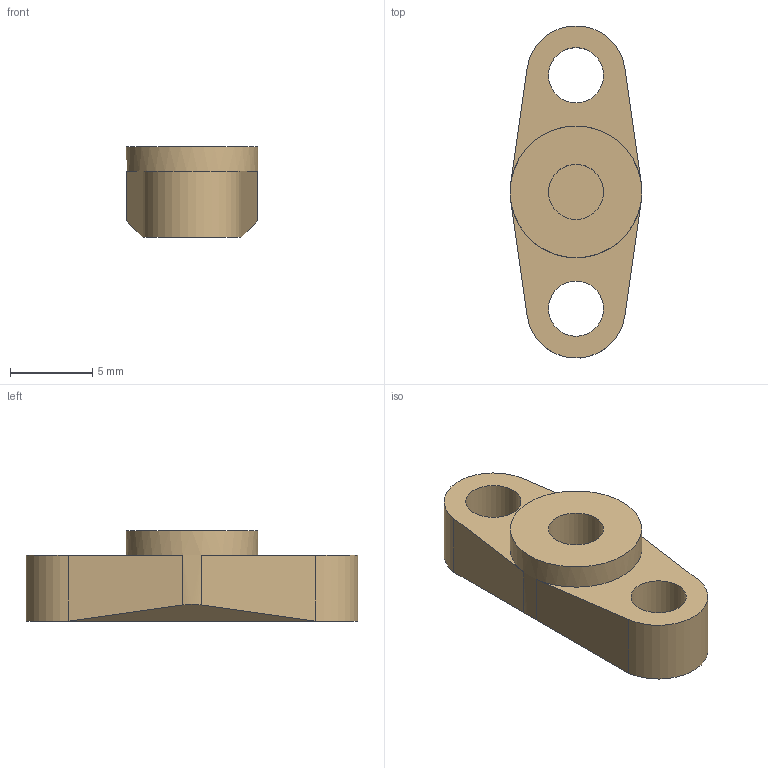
import cadquery as cq
import math

overall_length = 20.18
end_radius = 3.0
boss_radius = 4.0
flange_thickness = 4.0
boss_height = 1.5
hole_diameter = 3.35
bore_depth = 4.0

hole_offset = overall_length / 2 - end_radius
total_height = flange_thickness + boss_height

flank_angle = math.asin((boss_radius - end_radius) / hole_offset)
middle_tangent_x = boss_radius * math.cos(flank_angle)
middle_tangent_y = boss_radius * math.sin(flank_angle)
end_tangent_x = end_radius * math.cos(flank_angle)
end_tangent_y = hole_offset + end_radius * math.sin(flank_angle)

bevel_size = boss_radius - end_tangent_x


def make_flange():
    """Lozenge-shaped plate with rounded ends and a rounded middle."""
    half_length = overall_length / 2
    return (
        cq.Workplane("XY")
        .moveTo(middle_tangent_x, middle_tangent_y)
        .lineTo(end_tangent_x, end_tangent_y)
        .threePointArc((0, half_length), (-end_tangent_x, end_tangent_y))
        .lineTo(-middle_tangent_x, middle_tangent_y)
        .threePointArc((-boss_radius, 0), (-middle_tangent_x, -middle_tangent_y))
        .lineTo(-end_tangent_x, -end_tangent_y)
        .threePointArc((0, -half_length), (end_tangent_x, -end_tangent_y))
        .lineTo(middle_tangent_x, -middle_tangent_y)
        .threePointArc((boss_radius, 0), (middle_tangent_x, middle_tangent_y))
        .close()
        .extrude(flange_thickness)
    )


def make_bevel_cutter(side):
    """Triangular prism along Y under one long side; side is +1 or -1 in X."""
    return (
        cq.Workplane("XZ")
        .polyline([
            (side * end_tangent_x, 0),
            (side * boss_radius, bevel_size),
            (side * boss_radius, 0),
        ])
        .close()
        .extrude(overall_length / 2, both=True)
    )


def make_boss():
    """Round boss standing on the middle of the flange."""
    return cq.Workplane("XY").workplane(offset=flange_thickness).circle(boss_radius).extrude(boss_height)


def make_mounting_holes():
    """Two holes right through the flange, one at each end."""
    return (
        cq.Workplane("XY")
        .pushPoints([(0, hole_offset), (0, -hole_offset)])
        .circle(hole_diameter / 2)
        .extrude(flange_thickness)
    )


def make_centre_bore():
    """Blind bore down from the top of the boss."""
    return (
        cq.Workplane("XY")
        .workplane(offset=total_height)
        .circle(hole_diameter / 2)
        .extrude(-bore_depth)
    )


flange = make_flange()
for side in (1, -1):
    flange = flange.cut(make_bevel_cutter(side))

result = flange.union(make_boss()).cut(make_mounting_holes()).cut(make_centre_bore())